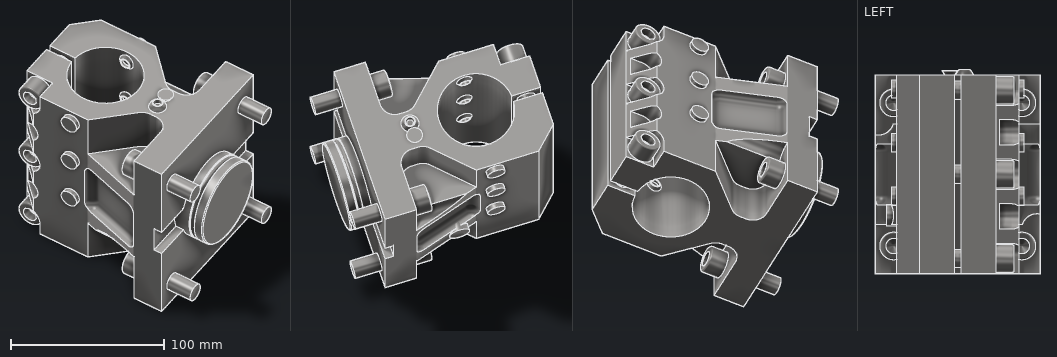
import cadquery as cq
import math


HEIGHT = 130.0
TOP = HEIGHT / 2
BODY_HALF_WIDTH = 39.9
BODY_LEFT = -45.0
BODY_CHAMFER = 14.9
BORE_RADIUS = 25.3
SLIT_WIDTH = 4.0

PLATE_WIDTH = 108.0
PLATE_HALF_WIDTH = PLATE_WIDTH / 2
PLATE_FRONT = 58.4
PLATE_BACK = 80.1
KEYWAY_HEIGHT = 20.0
KEYWAY_DEPTH = 5.9

NECK_START = 12.8
NECK_HALF_WIDTH = 12.9
NECK_FILLET = 9.9

WING_HALF_HEIGHT = 32.9
WING_ANGLE = math.degrees(math.atan2(PLATE_HALF_WIDTH - BODY_HALF_WIDTH, PLATE_FRONT - NECK_START))
RECESS_START = -2.6
RECESS_END = 47.4
RECESS_HEIGHT = 40.0
RECESS_DEPTH = 7.2
RECESS_FILLET = 6.0
RELIEF_RADIUS = 10.0
RELIEF_Y = 51.8
RELIEF_TOP = -25.7

SHANK_RADIUS = 6.0
HEAD_RADIUS = 9.0
HEAD_HEIGHT = 11.9
HEAD_FILLET = 1.1
SOCKET_RADIUS = 5.0
SOCKET_DEPTH = 6.0
DRILL_TIP_RATIO = math.tan(math.radians(30))

CLAMP_X = -34.9
CLAMP_PITCH = 55.0
CLAMP_SEAT_Y = BODY_CHAMFER - BODY_HALF_WIDTH
CLAMP_LENGTH = 50.2
SEAT_RADIUS = 9.9
POCKET_RADIUS = 8.3
POCKET_FLOOR_Y = -27.1

PLATE_BOLT_Y = 41.9
PLATE_BOLT_Z = 46.8
PLATE_BOLT_END = 98.5

SET_SCREW_Z = 55.8
SET_SCREW_PITCH = 35.0
SET_SCREW_COUNT = 3
SET_SCREW_OUTER = 43.2
SET_SCREW_TIP = 23.1
SET_SCREW_CHAMFER = 2.3
SET_SOCKET_RADIUS = 3.2
SET_SOCKET_DEPTH = 2.9

SPIGOT_RADIUS = 30.0
SPIGOT_LENGTH = 16.1
SPIGOT_CHAMFER = 0.7
GROOVE_START = 5.6
GROOVE_WIDTH = 4.0
GROOVE_DEPTH = 1.9
O_RING_RADIUS = 1.6

PLUG_RADIUS = 6.9
PLUG_X = 26.4
PLUG_Z = -26.7
PLUG_OUTER = 46.6
FITTING_X = 43.9
NIPPLE_Y = -4.5
NIPPLE_RADIUS = 5.9
NIPPLE_TOP_RADIUS = 3.5
NIPPLE_HEIGHT = 3.6
NIPPLE_BULGE = (4.9, 2.0)
NIPPLE_HOLE_RADIUS = 3.0
NIPPLE_HOLE_FLOOR_RADIUS = 2.2
NIPPLE_HOLE_DEPTH = 2.9
FUNNEL_Y = 5.2
FUNNEL_RADIUS = 5.2
FUNNEL_BASE_RADIUS = 3.5
FUNNEL_HEIGHT = 2.9


def place(shape, point, direction=(0, 0, 1)):
    """Move a shape built up along Z to a point, with its Z axis along the direction."""
    plane = cq.Plane(origin=point, normal=direction)
    return cq.Workplane(shape.val().moved(cq.Location(plane)))


def box_between(low, high):
    size = [b - a for a, b in zip(low, high)]
    return cq.Workplane().box(*size, centered=False).translate(low)


def revolved(points):
    """Solid of revolution about Z from (radius, height) points."""
    return cq.Workplane("XZ").polyline(points).close().revolve(360, (0, 0), (0, 1))


def socket(radius, depth):
    """Round blind hole going down from Z = 0, with a drill-tip bottom."""
    tip = depth + radius * DRILL_TIP_RATIO
    return revolved([(0, 0), (radius, 0), (radius, -depth), (0, -tip)])


def bolt(shank_length):
    """Socket head bolt with its head seated on Z = 0 and its shank going down."""
    head = cq.Workplane().circle(HEAD_RADIUS).extrude(HEAD_HEIGHT)
    head = head.faces(">Z").edges().fillet(HEAD_FILLET)
    head = head.cut(socket(SOCKET_RADIUS, SOCKET_DEPTH).translate((0, 0, HEAD_HEIGHT)))
    shank = cq.Workplane().circle(SHANK_RADIUS).extrude(-shank_length)
    return head.union(shank)


def turned_about_x(shape):
    return shape.rotate((0, 0, 0), (1, 0, 0), 180)


def clamp_body():
    """Full-height profile of chamfered clamp, neck and plate."""
    neck_corner = NECK_START + BODY_HALF_WIDTH - NECK_HALF_WIDTH
    half = [
        (BODY_LEFT, BODY_HALF_WIDTH - BODY_CHAMFER),
        (BODY_LEFT + BODY_CHAMFER, BODY_HALF_WIDTH),
        (NECK_START, BODY_HALF_WIDTH),
        (neck_corner, NECK_HALF_WIDTH),
        (PLATE_FRONT, NECK_HALF_WIDTH),
        (PLATE_FRONT, PLATE_HALF_WIDTH),
        (PLATE_BACK, PLATE_HALF_WIDTH),
    ]
    outline = half + [(x, -y) for x, y in reversed(half)]
    body = cq.Workplane().polyline(outline).close().extrude(TOP, both=True)
    margin = 1.5
    neck_edges = cq.selectors.BoxSelector(
        (neck_corner - margin, -NECK_HALF_WIDTH - margin, -TOP),
        (PLATE_FRONT + margin, NECK_HALF_WIDTH + margin, TOP),
    )
    return body.edges("|Z").edges(neck_edges).fillet(NECK_FILLET)


def wing():
    """Tapered wing on the -Y side, with a round relief along its lower edge."""
    outline = [
        (NECK_START, -BODY_HALF_WIDTH),
        (PLATE_FRONT, -PLATE_HALF_WIDTH),
        (PLATE_FRONT, -NECK_HALF_WIDTH),
        (NECK_START + BODY_HALF_WIDTH - NECK_HALF_WIDTH, -NECK_HALF_WIDTH),
    ]
    solid = cq.Workplane().polyline(outline).close().extrude(WING_HALF_HEIGHT, both=True)
    relief = cq.Workplane().circle(RELIEF_RADIUS).extrude(PLATE_FRONT - NECK_START)
    relief_center = (NECK_START, -RELIEF_Y, RELIEF_TOP - RELIEF_RADIUS)
    return solid.cut(place(relief, relief_center, (1, 0, 0)))


def wing_recess():
    """Cutter for the recess in the -Y wing face: its corners and floor edges are rounded."""
    cutter = box_between(
        (RECESS_START, -RECESS_DEPTH, -RECESS_HEIGHT / 2),
        (RECESS_END, RECESS_DEPTH, RECESS_HEIGHT / 2),
    )
    cutter = cutter.edges("|Y or >Y").fillet(RECESS_FILLET)
    cutter = cutter.rotate((0, 0, 0), (0, 0, 1), -WING_ANGLE)
    return cutter.translate((NECK_START, -BODY_HALF_WIDTH, 0))


def bolt_seat(z):
    """Round seat for a clamp bolt head, open to the -X face."""
    depth = BODY_HALF_WIDTH + CLAMP_SEAT_Y
    cylinder = cq.Workplane().circle(SEAT_RADIUS).extrude(depth)
    seat = place(cylinder, (CLAMP_X, CLAMP_SEAT_Y, z), (0, -1, 0))
    opening = box_between(
        (BODY_LEFT, -BODY_HALF_WIDTH, z - SEAT_RADIUS),
        (CLAMP_X, CLAMP_SEAT_Y, z + SEAT_RADIUS),
    )
    return seat.union(opening)


def end_seat_opening():
    """Squares off the uppermost bolt seat towards the top face."""
    return box_between(
        (BODY_LEFT, -BODY_HALF_WIDTH, CLAMP_PITCH),
        (CLAMP_X + SEAT_RADIUS, CLAMP_SEAT_Y, TOP),
    )


def chamfer_pocket(z):
    """D-shaped pocket sunk into the chamfer between two clamp bolts."""
    depth = BODY_HALF_WIDTH + POCKET_FLOOR_Y
    cylinder = cq.Workplane().circle(POCKET_RADIUS).extrude(depth)
    pocket = place(cylinder, (CLAMP_X, POCKET_FLOOR_Y, z), (0, -1, 0))
    opening = box_between(
        (BODY_LEFT, -BODY_HALF_WIDTH, z - POCKET_RADIUS),
        (CLAMP_X, POCKET_FLOOR_Y, z + POCKET_RADIUS),
    )
    return pocket.union(opening)


def set_screw():
    """Set screw standing on Z = 0, with a chamfered and socketed tip at its upper end."""
    length = SET_SCREW_OUTER - SET_SCREW_TIP
    screw = cq.Workplane().circle(SHANK_RADIUS).extrude(length)
    screw = screw.faces(">Z").chamfer(SET_SCREW_CHAMFER)
    return screw.cut(socket(SET_SOCKET_RADIUS, SET_SOCKET_DEPTH).translate((0, 0, length)))


def spigot():
    """Round spigot from the keyway floor out past the plate, with a groove half filled by an O-ring."""
    end = KEYWAY_DEPTH + SPIGOT_LENGTH
    groove_start = KEYWAY_DEPTH + GROOVE_START
    groove_end = groove_start + GROOVE_WIDTH
    groove_radius = SPIGOT_RADIUS - GROOVE_DEPTH
    ring_center_radius = SPIGOT_RADIUS - O_RING_RADIUS
    ring_end = groove_start + 2 * O_RING_RADIUS

    profile = cq.Workplane("XZ").lineTo(SPIGOT_RADIUS, 0).lineTo(SPIGOT_RADIUS, groove_start)
    profile = profile.lineTo(ring_center_radius, groove_start)
    profile = profile.threePointArc(
        (SPIGOT_RADIUS, groove_start + O_RING_RADIUS),
        (ring_center_radius, ring_end),
    )
    profile = profile.lineTo(groove_radius, ring_end).lineTo(groove_radius, groove_end)
    profile = profile.lineTo(SPIGOT_RADIUS, groove_end).lineTo(SPIGOT_RADIUS, end - SPIGOT_CHAMFER)
    profile = profile.lineTo(SPIGOT_RADIUS - SPIGOT_CHAMFER, end).lineTo(0, end).close()
    post = profile.revolve(360, (0, 0), (0, 1))
    return place(post, (PLATE_BACK - KEYWAY_DEPTH, 0, 0), (1, 0, 0))


def grease_nipple():
    """Domed nipple standing on Z = 0 with a tapered blind hole."""
    profile = cq.Workplane("XZ").lineTo(NIPPLE_RADIUS, 0)
    profile = profile.threePointArc(NIPPLE_BULGE, (NIPPLE_TOP_RADIUS, NIPPLE_HEIGHT))
    dome = profile.lineTo(0, NIPPLE_HEIGHT).close().revolve(360, (0, 0), (0, 1))
    floor = NIPPLE_HEIGHT - NIPPLE_HOLE_DEPTH
    hole = revolved([
        (0, floor),
        (NIPPLE_HOLE_FLOOR_RADIUS, floor),
        (NIPPLE_HOLE_RADIUS, NIPPLE_HEIGHT),
        (0, NIPPLE_HEIGHT),
    ])
    return dome.cut(hole)


def funnel():
    """Flared plug standing on Z = 0, widest at its top."""
    return revolved([(0, 0), (FUNNEL_BASE_RADIUS, 0), (FUNNEL_RADIUS, FUNNEL_HEIGHT), (0, FUNNEL_HEIGHT)])


part = clamp_body()
part = part.union(wing()).union(turned_about_x(wing()))
part = part.cut(wing_recess()).cut(turned_about_x(wing_recess()))

bore = cq.Workplane().circle(BORE_RADIUS).extrude(TOP, both=True)
part = part.cut(bore.rotate((0, 0, 0), (0, 0, 1), 180))
part = part.cut(box_between((BODY_LEFT, -SLIT_WIDTH / 2, -TOP), (0, SLIT_WIDTH / 2, TOP)))
part = part.cut(box_between(
    (PLATE_BACK - KEYWAY_DEPTH, -PLATE_HALF_WIDTH, -KEYWAY_HEIGHT / 2),
    (PLATE_BACK, PLATE_HALF_WIDTH, KEYWAY_HEIGHT / 2),
))

clamp_bolt_heights = (-CLAMP_PITCH, 0, CLAMP_PITCH)
for z in clamp_bolt_heights:
    part = part.cut(bolt_seat(z))
part = part.cut(end_seat_opening()).cut(end_seat_opening().mirror("XY"))
for z in (-CLAMP_PITCH / 2, CLAMP_PITCH / 2):
    part = part.cut(chamfer_pocket(z))

for z in clamp_bolt_heights:
    part = part.union(place(bolt(CLAMP_LENGTH), (CLAMP_X, CLAMP_SEAT_Y, z), (0, -1, 0)))

for y in (-PLATE_BOLT_Y, PLATE_BOLT_Y):
    for z in (-PLATE_BOLT_Z, PLATE_BOLT_Z):
        plate_bolt = bolt(PLATE_BOLT_END - PLATE_FRONT)
        part = part.union(place(plate_bolt, (PLATE_FRONT, y, z), (-1, 0, 0)))

for side in (-1, 1):
    for i in range(SET_SCREW_COUNT):
        z = SET_SCREW_Z - i * SET_SCREW_PITCH
        part = part.union(place(set_screw(), (0, side * SET_SCREW_OUTER, z), (0, -side, 0)))

plug = cq.Workplane().circle(PLUG_RADIUS).extrude(PLUG_OUTER - BODY_HALF_WIDTH)
part = part.union(spigot())
part = part.union(place(plug, (PLUG_X, BODY_HALF_WIDTH, PLUG_Z), (0, 1, 0)))
part = part.union(place(grease_nipple(), (FITTING_X, NIPPLE_Y, TOP)))
part = part.union(place(funnel(), (FITTING_X, FUNNEL_Y, TOP)))

result = part